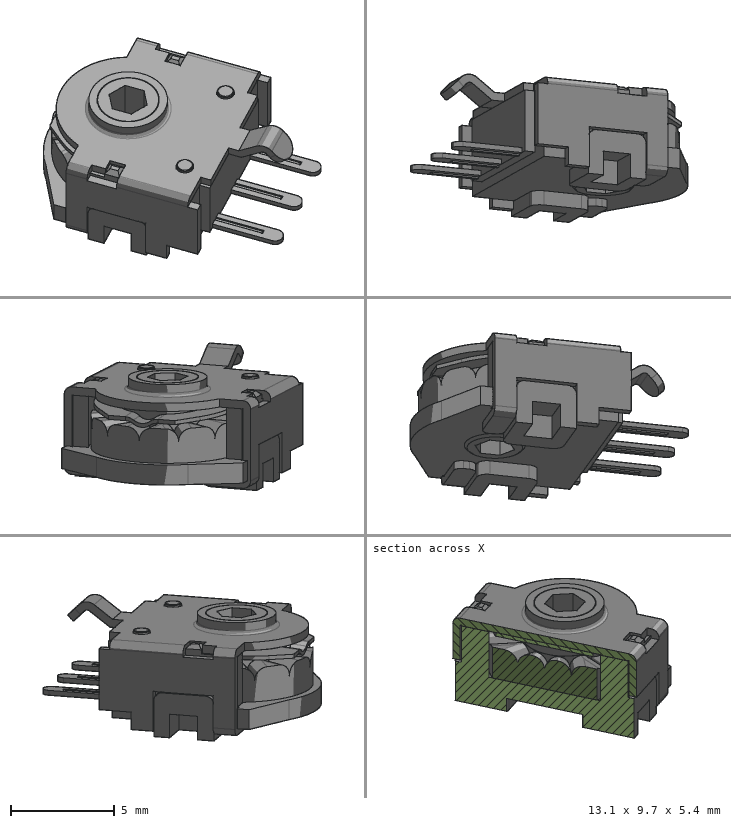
import cadquery as cq
import math


SIDES = (-1, 1)

plate_bottom = 0.71
plate_top = 1.7
terminal_bottom = 1.18
cover_top = 4.62
sheet = 0.4
cover_bottom = cover_top - sheet
boss_top = 5.21

base_front_x = -4.1
base_front_corner_x = -2.02
base_front_half_width = 4.72
base_flank_start_x = -3.33
base_flank_start_y = 2.38
base_wall_x = -1.34
base_half_width = 4.4
ear_clearance = 0.07
base_back_x = 4.98
nose_back_x = 5.5
nose_half_width = 3.25
cavity_radius = 3.83

foot_x = -0.24
foot_length = 3.03
foot_inner_y = 1.96
foot_corner = 0.52
pad_top = 2.21
pad_corner = 0.42
foot_slot_x = 0.59
foot_slot_length = 1.4
foot_slot_top = 1.18
foot_slot_depth = 1.57

peg_x = 4.0
peg_y = 2.7
peg_diameter = 0.8
peg_top = 4.74
peg_chamfer = 0.04

post_x = 0.48
post_length = 0.8
post_inner_y = 3.64
post_shoulder = 4.43
post_taper_x = 0.2
post_taper_y = 0.26

cover_half_width = 4.85
cover_inner_half = cover_half_width - sheet
fold_radius = 0.39
cover_nose_radius = 3.48
cover_nose_half_width = 3.09
window_top = 2.29
side_tab_length = 1.1
side_tab_bottom = plate_bottom - sheet
fold_inner_y = 2.29
notch_inner_y = 4.23
notch_bottom = 4.11

boss_diameter = 3.8
boss_flare_diameter = 4.15
boss_hole = 3.0
peg_hole = 0.85

tongue_half_width = 0.75
tongue_bend_x = 6.16
tongue_rise_angle = 35.5
tongue_fall_angle = 45.0
tongue_crest_x = 7.34
tongue_crest_radius = 0.21

rotor_diameter = 7.4
rotor_top = 3.4
rotor_hub_diameter = 4.15
rotor_stem_diameter = 2.95
rotor_stem_bottom = 0.58
stem_chamfer = 0.13
hex_flats = 1.7
notch_count = 12
notch_radius = 0.64

spring_thickness = 0.2
spring_radius = 3.56
spring_hole_radius = 2.37
spring_hole_x = -0.26
spring_front_x = -3.39
spring_front_half_width = 1.73
spring_front_top = 3.83
spring_tilt = 4.5
dimple_half_width = 0.85
dimple_depth = 0.28

terminal_pitch = 2.5
terminal_width = 0.8
terminal_thickness = 0.25
terminal_tip_x = 9.0
groove_width = 0.2
groove_depth = 0.08
groove_end_x = 7.99


def block(x0, x1, y0, y1, z0, z1):
    """Box between opposite corners; the two Y values may come in either order."""
    return cq.Workplane("XY").box(x1 - x0, abs(y1 - y0), z1 - z0, centered=False).translate(
        (x0, min(y0, y1), z0)
    )


def disc(diameter, z0, z1, x=0.0, y=0.0):
    return cq.Workplane("XY", origin=(x, y, z0)).circle(diameter / 2).extrude(z1 - z0)


def base_plate():
    """Floor with a round front that runs out into two straight flanks."""
    corner = (base_front_corner_x, base_front_half_width)
    ear_x = base_wall_x - ear_clearance
    return (
        cq.Workplane("XY", origin=(0, 0, plate_bottom))
        .moveTo(base_flank_start_x, -base_flank_start_y)
        .threePointArc((base_front_x, 0), (base_flank_start_x, base_flank_start_y))
        .lineTo(*corner)
        .lineTo(ear_x, base_front_half_width)
        .lineTo(ear_x, base_half_width)
        .lineTo(base_back_x, base_half_width)
        .lineTo(base_back_x, -base_half_width)
        .lineTo(ear_x, -base_half_width)
        .lineTo(ear_x, -base_front_half_width)
        .lineTo(corner[0], -corner[1])
        .close()
        .extrude(plate_top - plate_bottom)
    )


def base_walls():
    """Walls around the rotor cavity, with a nose that carries the terminals."""
    walls = block(base_wall_x, base_back_x, -base_half_width, base_half_width, plate_top, cover_bottom)
    nose = block(0, nose_back_x, -nose_half_width, nose_half_width, terminal_bottom, cover_bottom)
    return walls.union(nose).cut(disc(2 * cavity_radius, plate_top, cover_bottom))


def base_foot(side):
    """Foot under the floor, with a pad rising into the cover window."""
    back_x = foot_x + foot_length
    outer_y = side * base_front_half_width
    foot = block(foot_x, back_x, side * foot_inner_y, outer_y, 0, plate_bottom)
    inner_end = "<Y" if side > 0 else ">Y"
    foot = foot.faces(inner_end).edges("|Z").fillet(foot_corner)
    pad = block(foot_x, back_x, side * base_half_width, outer_y, 0, pad_top)
    pad = pad.faces(">Z").edges("|Y").fillet(pad_corner)
    return foot.union(pad)


def base_foot_slot(side):
    """Blind slot in the outer face of a foot, open at the bottom."""
    return block(
        foot_slot_x,
        foot_slot_x + foot_slot_length,
        side * (base_front_half_width - foot_slot_depth),
        side * base_front_half_width,
        0,
        foot_slot_top,
    )


def base_post(side):
    """Post with a pyramid top that fills the square opening in the cover."""
    width = base_half_width - post_inner_y
    middle_x = post_x + post_length / 2
    middle_y = side * (post_inner_y + base_half_width) / 2
    shank = block(
        post_x,
        post_x + post_length,
        side * post_inner_y,
        side * base_half_width,
        cover_bottom,
        post_shoulder,
    )
    pyramid = (
        cq.Workplane("XY", origin=(middle_x, middle_y, post_shoulder))
        .rect(post_length, width)
        .workplane(offset=cover_top - post_shoulder)
        .rect(post_length - 2 * post_taper_x, width - 2 * post_taper_y)
        .loft()
    )
    return shank.union(pyramid)


def base_peg(side):
    peg = disc(peg_diameter, cover_bottom, peg_top, peg_x, side * peg_y)
    return peg.faces(">Z").chamfer(peg_chamfer)


def make_base():
    base = base_plate().union(base_walls())
    for side in SIDES:
        base = base.union(base_foot(side)).cut(base_foot_slot(side))
        base = base.union(base_post(side)).union(base_peg(side))
    return base.cut(disc(rotor_stem_diameter, plate_bottom, plate_top))


def cover_roof():
    """Flat roof: round nose at the front, folded-down strips along both sides."""
    roof = block(base_wall_x, base_back_x, -cover_half_width, cover_half_width, cover_bottom, cover_top)
    roof = roof.edges("|X and >Z").fillet(fold_radius)
    back = block(0, nose_back_x, -cover_nose_half_width, cover_nose_half_width, cover_bottom, cover_top)
    nose = disc(2 * cover_nose_radius, cover_bottom, cover_top)
    nose = nose.intersect(
        block(-cover_nose_radius, 0, -cover_nose_radius, cover_nose_radius, cover_bottom, cover_top)
    )
    return roof.union(nose).union(back)


def cover_side(side):
    """Side wall with a window for the foot, one straight tab and one tab folded under the base."""
    inner_y = side * cover_inner_half
    outer_y = side * cover_half_width
    window_back_x = foot_x + foot_length
    tab_back_x = window_back_x + side_tab_length
    wall = block(base_wall_x, nose_back_x, inner_y, outer_y, side_tab_bottom, cover_bottom)
    wall = wall.cut(block(foot_x, window_back_x, inner_y, outer_y, side_tab_bottom, window_top))
    wall = wall.cut(block(tab_back_x, nose_back_x, inner_y, outer_y, side_tab_bottom, terminal_bottom))
    fold = block(base_wall_x, foot_x, side * fold_inner_y, outer_y, side_tab_bottom, plate_bottom)
    inner_end = "<Y" if side > 0 else ">Y"
    fold = fold.faces(inner_end).edges("|Z").fillet(fold_radius)
    wall = wall.union(fold)
    fold_edge = ((base_wall_x + foot_x) / 2, outer_y, side_tab_bottom)
    return wall.edges(cq.NearestToPointSelector(fold_edge)).fillet(fold_radius)


def cover_notch(side):
    """Opening through the folded edge, deeper where the base post comes up."""
    outer_y = side * cover_half_width
    post_back_x = post_x + post_length
    shallow = block(foot_x, post_back_x, side * notch_inner_y, outer_y, notch_bottom, cover_top)
    deep = block(post_x, post_back_x, side * post_inner_y, outer_y, notch_bottom, cover_top)
    return shallow.union(deep)


def cover_boss():
    boss = disc(boss_diameter, cover_top, boss_top)
    flare = (boss_flare_diameter - boss_diameter) / 2
    skirt = (
        cq.Workplane("XZ")
        .moveTo(0, cover_top)
        .lineTo(boss_flare_diameter / 2, cover_top)
        .radiusArc((boss_diameter / 2, cover_top + flare), flare)
        .lineTo(0, cover_top + flare)
        .close()
        .revolve(360, (0, 0), (0, 1))
    )
    return boss.union(skirt)


def bend_outer(inner, angle_before, angle_after):
    """Point on the outer face of the sheet opposite a bend on its inner face."""
    middle = math.radians((angle_before + angle_after) / 2)
    reach = sheet / math.cos(math.radians((angle_after - angle_before) / 2))
    return (inner[0] - reach * math.sin(middle), inner[1] + reach * math.cos(middle))


def cover_tongue():
    """Spring tongue that rises to a rounded crest and falls back to the underside of the roof."""
    rise = math.tan(math.radians(tongue_rise_angle))
    fall = math.radians(tongue_fall_angle)
    crest_height = (tongue_crest_x - tongue_bend_x) * rise
    bend = (tongue_bend_x, cover_bottom)
    crest = (tongue_crest_x, cover_bottom + crest_height)
    tip = (tongue_crest_x + crest_height / math.tan(fall), cover_bottom)
    tip_outer = (tip[0] + sheet * math.sin(fall), tip[1] + sheet * math.cos(fall))
    bend_top = bend_outer(bend, 0, tongue_rise_angle)
    crest_top = bend_outer(crest, tongue_rise_angle, -tongue_fall_angle)
    strip = (
        cq.Workplane("XZ")
        .polyline(
            [
                (nose_back_x, cover_bottom),
                bend,
                crest,
                tip,
                tip_outer,
                crest_top,
                bend_top,
                (nose_back_x, cover_top),
            ]
        )
        .close()
        .extrude(tongue_half_width, both=True)
    )
    strip = strip.edges(cq.NearestToPointSelector((crest[0], 0, crest[1]))).fillet(tongue_crest_radius)
    strip = strip.edges(cq.NearestToPointSelector((crest_top[0], 0, crest_top[1]))).fillet(
        tongue_crest_radius + sheet
    )
    leg_plane = cq.Plane(
        origin=(tip[0], 0, tip[1]),
        xDir=(math.cos(fall), 0, -math.sin(fall)),
        normal=(math.sin(fall), 0, math.cos(fall)),
    )
    corners = (
        cq.Workplane(leg_plane)
        .moveTo(-tongue_half_width, -tongue_half_width)
        .lineTo(0, -tongue_half_width)
        .lineTo(0, tongue_half_width)
        .lineTo(-tongue_half_width, tongue_half_width)
        .threePointArc((0, 0), (-tongue_half_width, -tongue_half_width))
        .close()
        .extrude(sheet)
    )
    return strip.cut(corners)


def make_cover():
    cover = cover_roof().union(cover_boss()).union(cover_tongue())
    for side in SIDES:
        cover = cover.union(cover_side(side))
        cover = cover.cut(cover_notch(side))
        cover = cover.cut(disc(peg_hole, cover_bottom, cover_top, peg_x, side * peg_y))
    return cover.cut(disc(boss_hole, cover_bottom, boss_top))


def detent_notch():
    """Radial notch on the -X side: two round shoulders meeting in a sharp valley."""
    valley = rotor_top - notch_radius
    return (
        cq.Workplane("YZ", origin=(-rotor_diameter / 2, 0, 0))
        .moveTo(-notch_radius, rotor_top)
        .radiusArc((0, valley), notch_radius)
        .radiusArc((notch_radius, rotor_top), notch_radius)
        .close()
        .extrude((rotor_diameter - rotor_hub_diameter) / 2)
    )


def make_rotor():
    wheel = disc(rotor_diameter, plate_top, rotor_top)
    notch = detent_notch()
    for i in range(notch_count):
        wheel = wheel.cut(notch.rotate((0, 0, 0), (0, 0, 1), i * 360 / notch_count))
    hub = disc(rotor_hub_diameter, plate_top, cover_bottom)
    stem = disc(rotor_stem_diameter, rotor_stem_bottom, boss_top)
    stem = stem.faces("<Z").chamfer(stem_chamfer)
    hexagon = (
        cq.Workplane(cq.Plane(origin=(0, 0, rotor_stem_bottom), xDir=(0, 1, 0)))
        .polygon(6, hex_flats, circumscribed=True)
        .extrude(boss_top - rotor_stem_bottom)
    )
    return wheel.union(hub).union(stem).cut(hexagon)


def spring_outline():
    """Ring whose round sides run tangentially into a straight front edge."""
    corner_angle = math.atan2(spring_front_half_width, spring_front_x)
    corner_distance = math.hypot(spring_front_x, spring_front_half_width)
    tangent_angle = corner_angle - math.acos(spring_radius / corner_distance)
    tangent_x = spring_radius * math.cos(tangent_angle)
    tangent_y = spring_radius * math.sin(tangent_angle)
    return (
        cq.Workplane("XY")
        .moveTo(spring_front_x, -spring_front_half_width)
        .lineTo(spring_front_x, spring_front_half_width)
        .lineTo(tangent_x, tangent_y)
        .threePointArc((spring_radius, 0), (tangent_x, -tangent_y))
        .close()
        .extrude(cover_bottom)
        .cut(disc(2 * spring_hole_radius, 0, cover_bottom, spring_hole_x))
    )


def spring_sheet():
    """Sheet that lies flat under the roof and slopes down towards the front."""
    slope = math.tan(math.radians(spring_tilt))
    bend_x = spring_front_x + (cover_bottom - spring_front_top) / slope
    return (
        cq.Workplane("XZ")
        .moveTo(spring_front_x, spring_front_top)
        .lineTo(bend_x, cover_bottom)
        .lineTo(spring_radius, cover_bottom)
        .lineTo(spring_radius, cover_bottom - spring_thickness)
        .lineTo(bend_x, cover_bottom - spring_thickness)
        .lineTo(spring_front_x, spring_front_top - spring_thickness)
        .close()
        .extrude(spring_radius, both=True)
    )


def spring_dimple():
    """Strip pressed down in a wave that drops into a rotor notch, following the slope of the sheet."""
    half = dimple_half_width / 2
    drop = dimple_depth / 2
    radius = (half**2 + drop**2) / (2 * drop)
    length = spring_hole_x - spring_front_x
    wave = (
        cq.Workplane("YZ")
        .moveTo(-dimple_half_width, 0)
        .radiusArc((-half, -drop), radius)
        .radiusArc((half, -drop), -radius)
        .radiusArc((dimple_half_width, 0), radius)
        .lineTo(dimple_half_width, -spring_thickness)
        .radiusArc((half, -drop - spring_thickness), -radius)
        .radiusArc((-half, -drop - spring_thickness), radius)
        .radiusArc((-dimple_half_width, -spring_thickness), -radius)
        .close()
        .extrude(length)
    )
    return wave.rotate((0, 0, 0), (0, 1, 0), -spring_tilt).translate((spring_front_x, 0, spring_front_top))


def make_spring():
    gap = block(spring_front_x, spring_hole_x, -dimple_half_width, dimple_half_width, 0, cover_bottom)
    return spring_sheet().cut(gap).union(spring_dimple()).intersect(spring_outline())


def make_terminal(y):
    """Flat terminal with a round tip and a pressed stiffening groove."""
    radius = terminal_width / 2
    top = terminal_bottom + terminal_thickness
    blade = (
        cq.Workplane("XY", origin=(0, y, terminal_bottom))
        .moveTo(nose_back_x, -radius)
        .lineTo(terminal_tip_x - radius, -radius)
        .threePointArc((terminal_tip_x, 0), (terminal_tip_x - radius, radius))
        .lineTo(nose_back_x, radius)
        .close()
        .extrude(terminal_thickness)
    )
    pressing = (
        cq.Workplane("XZ", origin=(0, y, 0))
        .moveTo(nose_back_x, 0)
        .lineTo(groove_end_x, 0)
        .lineTo(groove_end_x - groove_depth, -groove_depth)
        .lineTo(nose_back_x, -groove_depth)
        .close()
        .extrude(groove_width / 2, both=True)
    )
    return blade.cut(pressing.translate((0, 0, top))).union(pressing.translate((0, 0, terminal_bottom)))


base = make_base()
cover = make_cover()
rotor = make_rotor()
spring = make_spring()
terminals = [make_terminal(i * terminal_pitch) for i in (-1, 0, 1)]

result = cq.Compound.makeCompound(
    [base.val(), cover.val(), rotor.val(), spring.val(), *[terminal.val() for terminal in terminals]]
)